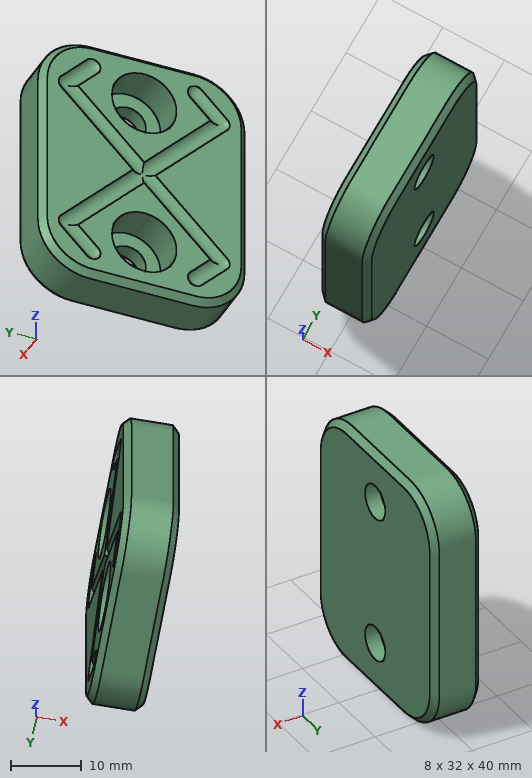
import cadquery as cq
import math

THICKNESS = 8.0
WIDTH = 32.0
HEIGHT = 40.0
CORNER_RADIUS = 8.0
EDGE_CHAMFER = 1.0

HOLE_DIAMETER = 5.5
COUNTERBORE_DIAMETER = 10.0
COUNTERBORE_DEPTH = 5.5
HOLE_OFFSET = HEIGHT / 2 - CORNER_RADIUS

GROOVE_HALF_WIDTH = 1.25
GROOVE_DEPTH = 0.65
ELBOW_OFFSET = 12.0
HOOK_REACH = 4.0

FACE_X = -THICKNESS / 2
GROOVE_RADIUS = (GROOVE_HALF_WIDTH**2 + GROOVE_DEPTH**2) / (2 * GROOVE_DEPTH)
GROOVE_AXIS_X = FACE_X + GROOVE_DEPTH - GROOVE_RADIUS


def make_plate():
    """Rounded plate centred on the origin, chamfered around both faces."""
    plate = cq.Workplane("YZ").rect(WIDTH, HEIGHT).extrude(THICKNESS / 2, both=True)
    plate = plate.edges("|X").fillet(CORNER_RADIUS)
    return plate.faces("<X or >X").edges().chamfer(EDGE_CHAMFER)


def make_cylinder(diameter, length, z):
    """Cylinder running from the -X face into the plate at height z."""
    axis_plane = cq.Workplane("YZ", origin=(FACE_X, 0, z))
    return axis_plane.circle(diameter / 2).extrude(length)


def make_groove(start, end):
    """Ball-ended groove cutter between two (y, z) points of the -X face."""
    start_point = cq.Vector(GROOVE_AXIS_X, *start)
    path = cq.Vector(GROOVE_AXIS_X, *end) - start_point
    length = path.Length
    arc_reach = GROOVE_RADIUS * math.sqrt(0.5)
    axis_plane = cq.Plane(origin=start_point, xDir=(1, 0, 0), normal=cq.Vector(1, 0, 0).cross(path))
    return (
        cq.Workplane(axis_plane)
        .moveTo(0, -GROOVE_RADIUS)
        .threePointArc((arc_reach, -arc_reach), (GROOVE_RADIUS, 0))
        .lineTo(GROOVE_RADIUS, length)
        .threePointArc((arc_reach, length + arc_reach), (0, length + GROOVE_RADIUS))
        .close()
        .revolve(360, (0, 0), (0, 1))
    )


result = make_plate()

for hole_z in (-HOLE_OFFSET, HOLE_OFFSET):
    result = result.cut(make_cylinder(HOLE_DIAMETER, THICKNESS, hole_z))
    result = result.cut(make_cylinder(COUNTERBORE_DIAMETER, COUNTERBORE_DEPTH, hole_z))

for slope in (-1, 1):
    lower_elbow = (-slope * ELBOW_OFFSET, -ELBOW_OFFSET)
    upper_elbow = (slope * ELBOW_OFFSET, ELBOW_OFFSET)
    result = result.cut(make_groove(lower_elbow, upper_elbow), clean=False)

for side_y in (-1, 1):
    for side_z in (-1, 1):
        elbow = (side_y * ELBOW_OFFSET, side_z * ELBOW_OFFSET)
        hook_end = (side_y * (ELBOW_OFFSET - HOOK_REACH), side_z * (ELBOW_OFFSET + HOOK_REACH))
        result = result.cut(make_groove(elbow, hook_end), clean=False)